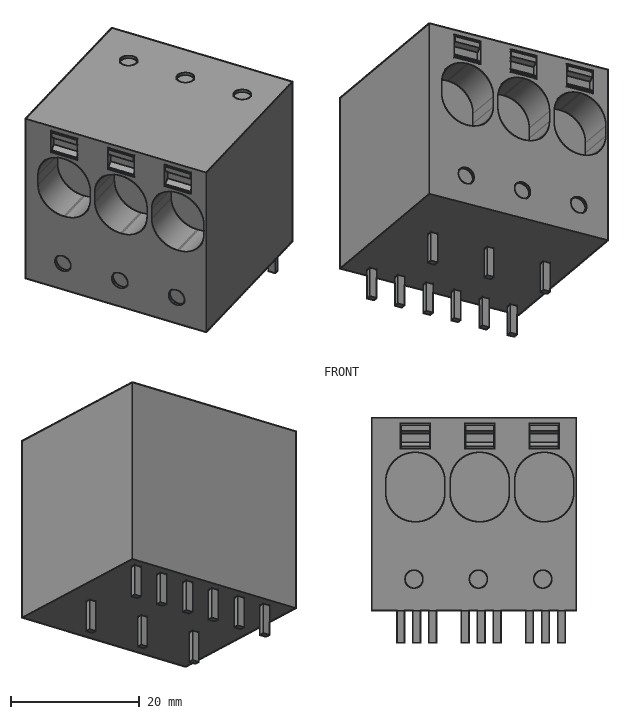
import cadquery as cq


total_height = 35.0
housing_width = 31.8
housing_depth = 28.55
pin_length = 5.0
housing_height = total_height - pin_length

pole_count = 3
pole_pitch = 10.0
first_pole_x = 6.8
pole_xs = [first_pole_x + pole_pitch * i for i in range(pole_count)]

entry_width = 9.2
entry_height = 10.78
entry_flat = 0.2
entry_corner_radius = (entry_width - entry_flat) / 2
entry_z = 19.2
entry_depth = 6.5

test_hole_diameter = 2.8
test_hole_depth = 0.5
test_hole_offset = -0.2
front_test_hole_z = 4.9
top_test_hole_y = housing_depth - 6.82

window_width = 4.7
window_height = 4.02
window_top_z = housing_height - 0.85
window_depth = 2.8

button_side_gap = 0.15
button_top_gap = 0.3
button_bottom_gap = 0.15
button_width = window_width - 2 * button_side_gap
button_top_z = window_top_z - button_top_gap
button_bottom_z = window_top_z - window_height + button_bottom_gap
groove_depth = 0.8
groove_upper_lip = 0.9
groove_lower_lip = 0.28
groove_upper_slope = 0.42
groove_lower_slope = 0.6

pin_width = 1.22
pin_thickness = 0.95
pin_pitch = 2.5
first_pin_offset = -2.28
back_pin_y = housing_depth - 2.1
pin_row_spacing = 14.98
front_pin_y = back_pin_y - pin_row_spacing
pin_rows = [back_pin_y, front_pin_y, back_pin_y]
plate_bottom_z = 1.05
plate_thickness = 0.98


def box(x_size, y_size, z_size, x, y, z):
    """Box centred on x and y, standing on height z."""
    return cq.Workplane("XY").box(x_size, y_size, z_size, centered=(True, True, False)).translate((x, y, z))


def front_plane(x, z):
    """Sketch plane on the front face, facing into the housing."""
    return cq.Workplane(cq.Plane(origin=(x, 0, z), xDir=(-1, 0, 0), normal=(0, 1, 0)))


def make_contact(pole_x):
    middle_pin_x = pole_x + first_pin_offset + pin_pitch
    contact = box(
        2 * pin_pitch + pin_width,
        pin_row_spacing + pin_thickness,
        plate_thickness,
        middle_pin_x,
        (front_pin_y + back_pin_y) / 2,
        plate_bottom_z,
    )
    for i, row_y in enumerate(pin_rows):
        pin_x = pole_x + first_pin_offset + pin_pitch * i
        pin = box(pin_width, pin_thickness, pin_length + plate_bottom_z, pin_x, row_y, -pin_length)
        contact = contact.union(pin)
    return contact


def make_button(pole_x):
    front_y = 0
    groove_top_z = button_top_z - groove_upper_lip
    groove_bottom_z = button_bottom_z + groove_lower_lip
    profile = [
        (window_depth, button_bottom_z),
        (front_y, button_bottom_z),
        (front_y, groove_bottom_z),
        (groove_depth, groove_bottom_z + groove_lower_slope),
        (groove_depth, groove_top_z - groove_upper_slope),
        (front_y, groove_top_z),
        (front_y, button_top_z),
        (window_depth, button_top_z),
    ]
    section = cq.Workplane("YZ").polyline(profile).close().extrude(button_width)
    return section.translate((pole_x - button_width / 2, 0, 0))


def wire_entry(pole_x):
    block = front_plane(pole_x, entry_z).rect(entry_width, entry_height).extrude(entry_depth)
    return block.edges("|Y").fillet(entry_corner_radius)


def button_window(pole_x):
    window = front_plane(pole_x, window_top_z - window_height / 2)
    return window.rect(window_width, window_height).extrude(window_depth)


def front_test_hole(pole_x):
    hole = front_plane(pole_x + test_hole_offset, front_test_hole_z)
    return hole.circle(test_hole_diameter / 2).extrude(test_hole_depth)


def top_test_hole(pole_x):
    hole = cq.Workplane("XY", origin=(pole_x + test_hole_offset, top_test_hole_y, housing_height))
    return hole.circle(test_hole_diameter / 2).extrude(-test_hole_depth)


def make_housing(contacts):
    housing = cq.Workplane("XY").box(housing_width, housing_depth, housing_height, centered=False)
    for pole_x in pole_xs:
        housing = housing.cut(wire_entry(pole_x))
        housing = housing.cut(button_window(pole_x))
        housing = housing.cut(front_test_hole(pole_x))
        housing = housing.cut(top_test_hole(pole_x))
    for contact in contacts:
        housing = housing.cut(contact)
    return housing


contacts = [make_contact(pole_x) for pole_x in pole_xs]
buttons = [make_button(pole_x) for pole_x in pole_xs]
housing = make_housing(contacts)

result = cq.Compound.makeCompound([
    housing.val(),
    *[button.val() for button in buttons],
    *[contact.val() for contact in contacts],
])